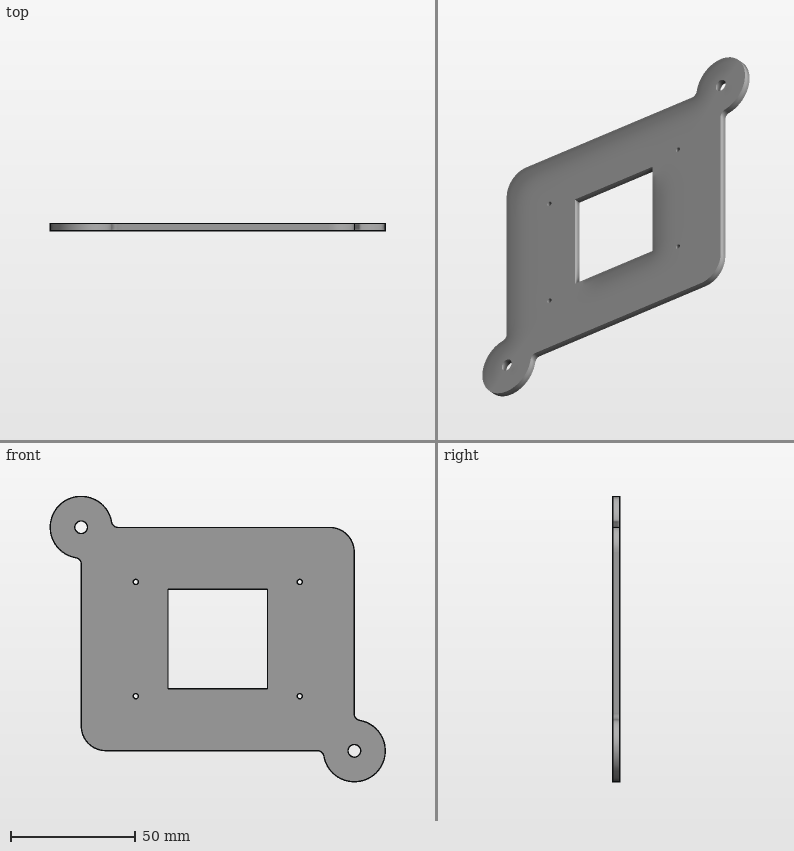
import cadquery as cq

plate_length = 110.0
plate_height = 90.0
thickness = 3.0
corner_radius = 10.0

ear_radius = 12.5
ear_hole_diameter = 5.0
neck_fillet_radius = 2.5

window_size = 40.0
screw_spacing_x = 66.0
screw_spacing_z = 46.0
screw_hole_diameter = 2.0

ear_centers = [
    (-plate_length / 2, plate_height / 2),
    (plate_length / 2, -plate_height / 2),
]


def centered_workplane():
    """XZ workplane on the +Y face, extruding toward -Y."""
    return cq.Workplane("XZ", origin=(0, thickness / 2, 0))


def rounded_plate():
    """Plate with its two free corners rounded."""
    plate = centered_workplane().rect(plate_length, plate_height).extrude(thickness)
    top_right = plate.edges("|Y").edges(">(1, 0, 1)")
    bottom_left = plate.edges("|Y").edges("<(1, 0, 1)")
    return plate.newObject(top_right.vals() + bottom_left.vals()).fillet(corner_radius)


def ears():
    """Discs centred on the two square corners of the plate."""
    return centered_workplane().pushPoints(ear_centers).circle(ear_radius).extrude(thickness)


def neck_edges(body):
    """Inside edges where an ear's rim meets a straight side of the plate."""
    half_length = plate_length / 2
    half_height = plate_height / 2
    selected = []
    for sign in (1, -1):
        along_top = (sign * (ear_radius - half_length), sign * half_height)
        along_side = (-sign * half_length, sign * (half_height - ear_radius))
        for x, z in (along_top, along_side):
            selected += body.edges("|Y").edges(cq.selectors.NearestToPointSelector((x, 0, z))).vals()
    return body.newObject(selected)


def round_holes(points, diameter):
    """Cutters for through holes."""
    return centered_workplane().pushPoints(points).circle(diameter / 2).extrude(thickness)


def window():
    """Cutter for the central square opening."""
    return centered_workplane().rect(window_size, window_size).extrude(thickness)


screw_points = [
    (side_x * screw_spacing_x / 2, side_z * screw_spacing_z / 2)
    for side_x in (-1, 1)
    for side_z in (-1, 1)
]

outline = rounded_plate().union(ears())
body = neck_edges(outline).fillet(neck_fillet_radius)

result = (
    body.cut(window())
    .cut(round_holes(ear_centers, ear_hole_diameter))
    .cut(round_holes(screw_points, screw_hole_diameter))
)